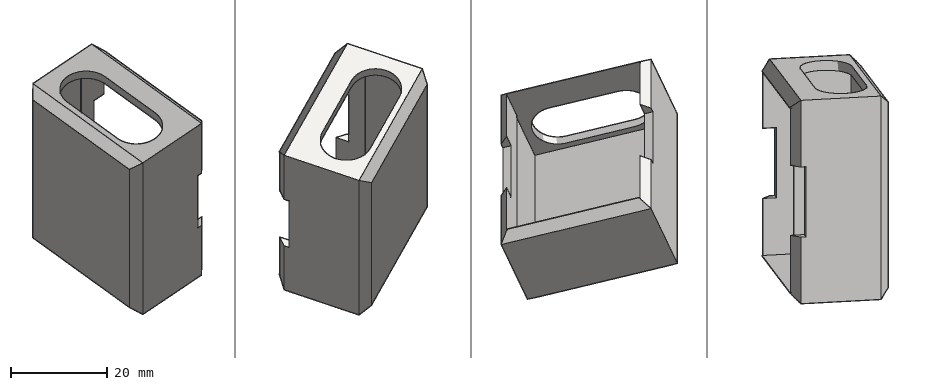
import cadquery as cq

width = 33.0
depth = 21.0
height = 44.0
chamfer = 2.0

side_wall = 1.85
front_wall = 2.0
end_wall = 2.1
step_width = 0.2
slot_length = 26.0
slot_width = 10.9
slot_centre_y = 8.75
chamber_back_y = slot_centre_y + slot_width / 2

notch_height = 15.15
notch_depth = 3.1


def box_between(size_x, y_start, y_end, size_z):
    """Box centred on X and on mid height, spanning the given stretch of Y."""
    return (
        cq.Workplane("XY")
        .box(size_x, y_end - y_start, size_z, centered=(True, False, True))
        .translate((0, y_start, height / 2))
    )


def make_block():
    """Solid block with the edges of its front and back faces chamfered."""
    block = box_between(width, 0, depth, height)
    return block.faces("<Y or >Y").edges().chamfer(chamfer)


def make_cavity():
    """Back opening and the slightly wider chamber in front of it."""
    opening_width = width - 2 * side_wall
    opening_height = height - 2 * end_wall
    opening = box_between(opening_width, front_wall, depth, opening_height)
    chamber = box_between(opening_width + 2 * step_width, front_wall, chamber_back_y, opening_height)
    return opening.union(chamber)


def make_top_slot():
    """Round-ended slot through the top wall only."""
    return (
        cq.Workplane("XY", origin=(0, slot_centre_y, height - 2 * end_wall))
        .slot2D(slot_length, slot_width)
        .extrude(2 * end_wall)
    )


def make_side_notch():
    """Rectangular cut across the full width at the back."""
    return box_between(width, depth - notch_depth, depth, notch_height)


result = make_block().cut(make_cavity()).cut(make_top_slot()).cut(make_side_notch())